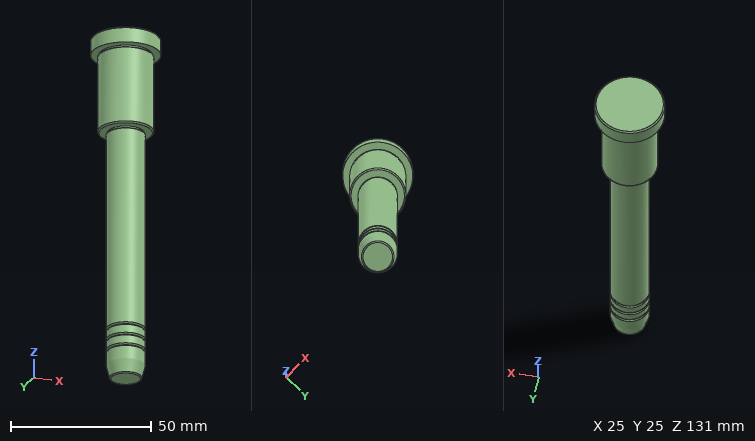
import cadquery as cq
import math

total_length = 131.0
head_height = 6.0
sleeve_end_depth = 36.0

head_radius = 25.0 / 2
sleeve_radius = 20.0 / 2
stem_radius = 14.0 / 2

edge_chamfer = 0.5
neck_height = 0.8
neck_depth = 0.4

taper_height = 5.0
taper_angle = 15.0
tip_chamfer = 0.4

groove_count = 3
groove_pitch = 4.0
groove_width = 1.0
groove_depth = 0.5
lowest_groove_z = 10.5

head_bottom_z = total_length - head_height
sleeve_bottom_z = total_length - sleeve_end_depth
tip_radius = stem_radius - taper_height * math.tan(math.radians(taper_angle))


def cylinder(radius, bottom_z, top_z):
    """Solid cylinder on the Z axis between two heights."""
    return cq.Workplane("XY").workplane(offset=bottom_z).circle(radius).extrude(top_z - bottom_z)


def neck(outer_radius, top_z):
    """Ring that narrows a cylinder just below a shoulder."""
    outer = cylinder(outer_radius, top_z - neck_height, top_z)
    return outer.cut(cylinder(outer_radius - neck_depth, top_z - neck_height, top_z))


def groove(center_z):
    """Ring of triangular section pointing inward from the stem surface."""
    half_width = groove_width / 2
    section = [
        (stem_radius, center_z - half_width),
        (stem_radius - groove_depth, center_z),
        (stem_radius, center_z + half_width),
    ]
    return cq.Workplane("XZ").polyline(section).close().revolve(360, (0, 0), (0, 1))


def tip():
    """Cone frustum with a chamfered lower end."""
    profile = [(0, 0), (tip_radius, 0), (stem_radius, taper_height), (0, taper_height)]
    frustum = cq.Workplane("XZ").polyline(profile).close().revolve(360, (0, 0), (0, 1))
    return frustum.faces("<Z").chamfer(tip_chamfer)


head = cylinder(head_radius, head_bottom_z, total_length).faces(">Z").chamfer(edge_chamfer)

sleeve = cylinder(sleeve_radius, sleeve_bottom_z, head_bottom_z).faces("<Z").chamfer(edge_chamfer)
sleeve = sleeve.cut(neck(sleeve_radius, head_bottom_z))

stem = cylinder(stem_radius, taper_height, sleeve_bottom_z).cut(neck(stem_radius, sleeve_bottom_z))
for index in range(groove_count):
    stem = stem.cut(groove(lowest_groove_z + index * groove_pitch))

result = head.union(sleeve).union(stem).union(tip())